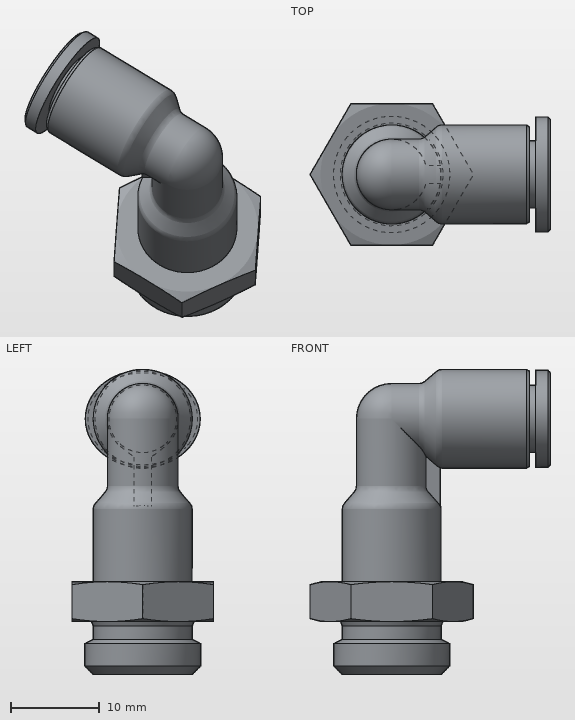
import cadquery as cq
import math

stud_radius = 13.157 / 2
stud_chamfer = 1.0
stud_top = 3.5
neck_start = 4.0
neck_end = 5.5
collar_radius = 5.8

hex_flats = 16.0
hex_bottom = 6.0
hex_top = 10.5
hex_chamfer_angle = 15.0

sleeve_radius = 5.6
tube_radius = 4.0
total_height = 34.5
elbow_height = total_height - sleeve_radius
blend_radius = 1.0
upright_cone_start = 7.97
side_cone_start = 3.47
cone_length = 1.86

sleeve_end = 15.57
sleeve_mouth_length = 0.35
sleeve_mouth_depth = 0.22
release_stem_radius = 3.82
flange_start = 16.27
flange_end = 17.95
flange_width = 13.0
flange_height = 11.0
flange_chamfer = 0.3

web_thickness = 2.0
web_reach = 5.5


def make_stud():
    """Turned stud below the hexagon."""
    outline = [
        (0, 0),
        (stud_radius - stud_chamfer, 0),
        (stud_radius, stud_chamfer),
        (stud_radius, stud_top),
        (sleeve_radius, neck_start),
        (sleeve_radius, neck_end),
        (collar_radius, hex_bottom),
        (0, hex_bottom),
    ]
    return cq.Workplane("XZ").polyline(outline).close().revolve(360, (0, 0), (0, 1))


def make_hexagon():
    """Hexagon with corners on the X axis, its corners turned down at both ends."""
    corner_radius = hex_flats / math.sqrt(3)
    flat_radius = hex_flats / 2
    drop = (corner_radius - flat_radius) * math.tan(math.radians(hex_chamfer_angle))
    prism = (
        cq.Workplane("XY", origin=(0, 0, hex_bottom))
        .polygon(6, 2 * corner_radius)
        .extrude(hex_top - hex_bottom)
    )
    envelope_outline = [
        (0, hex_bottom),
        (flat_radius, hex_bottom),
        (corner_radius, hex_bottom + drop),
        (corner_radius, hex_top - drop),
        (flat_radius, hex_top),
        (0, hex_top),
    ]
    envelope = cq.Workplane("XZ").polyline(envelope_outline).close().revolve(360, (0, 0), (0, 1))
    return prism.intersect(envelope)


def make_arm(cone_start, end):
    """Tube, blended cone and sleeve along +X from the origin."""
    outline = [
        (0, 0),
        (0, tube_radius),
        (cone_start, tube_radius),
        (cone_start + cone_length, sleeve_radius),
        (end, sleeve_radius),
        (end, 0),
    ]
    arm = cq.Workplane("XY").polyline(outline).close().revolve(360, (0, 0), (1, 0))
    box_start = cone_start / 2
    box_end = (cone_start + cone_length + end) / 2
    cone_edges = cq.selectors.BoxSelector(
        (box_start, -sleeve_radius, -sleeve_radius),
        (box_end, sleeve_radius, sleeve_radius),
    )
    return arm.edges(cone_edges).edges("%CIRCLE").fillet(blend_radius)


def make_upright():
    """Arm standing on the hexagon and meeting the side arm at the elbow centre."""
    arm = make_arm(upright_cone_start, elbow_height - hex_top)
    return arm.rotate((0, 0, 0), (0, 1, 0), 90).translate((0, 0, elbow_height))


def make_side_arm():
    """Horizontal arm with the chamfered mouth of its sleeve."""
    arm = make_arm(side_cone_start, sleeve_end)
    arm = arm.faces(">X").chamfer(sleeve_mouth_length, sleeve_mouth_depth)
    return arm.translate((0, 0, elbow_height))


def make_elbow_ball():
    """Ball rounding the outside corner of the elbow."""
    return cq.Workplane("XY").sphere(tube_radius).translate((0, 0, elbow_height))


def make_web():
    """Flat web filling the inside corner between the two sleeves."""
    web_bottom = elbow_height - upright_cone_start - cone_length
    web_height = elbow_height - web_bottom
    return cq.Workplane("XY", origin=(0, 0, web_bottom)).box(
        web_reach, web_thickness, web_height, centered=(False, True, False)
    )


def make_release_button():
    """Stem and oval flange at the mouth of the side arm."""
    mouth = cq.Workplane("YZ", origin=(sleeve_end, 0, elbow_height))
    stem = mouth.circle(release_stem_radius).extrude(flange_start - sleeve_end)
    flange = (
        cq.Workplane("YZ", origin=(flange_start, 0, elbow_height))
        .ellipse(flange_width / 2, flange_height / 2)
        .extrude(flange_end - flange_start)
        .faces(">X")
        .edges()
        .chamfer(flange_chamfer)
    )
    return stem.union(flange)


result = (
    make_stud()
    .union(make_hexagon())
    .union(make_upright())
    .union(make_side_arm())
    .union(make_elbow_ball())
    .union(make_web())
    .union(make_release_button())
)